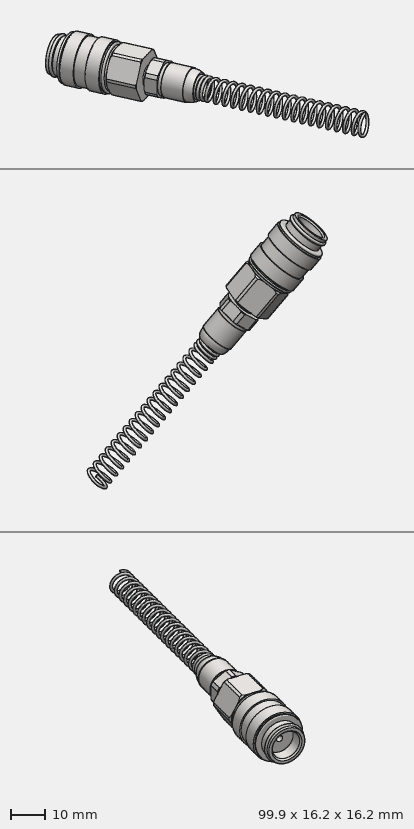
import math

import cadquery as cq


NOSE_RADIUS = 12.0 / 2
RING_WIRE_RADIUS = 1.0 / 2
RING_OUTER_RADIUS = 6.5
RING_GROOVE_START = 1.0
RING_GROOVE_END = 2.2
RING_GROOVE_RADIUS = 5.6
BORE_RADIUS = 9.03 / 2
BORE_MOUTH_RADIUS = 10.0 / 2
BORE_DEPTH = 4.3
VALVE_HOLE_RADIUS = 2.0 / 2
VALVE_HOLE_DEPTH = 2.0

SLEEVE_START = 4.3
SLEEVE_END = 19.3
SLEEVE_RADIUS = 16.2 / 2
RIM_RADIUS = 7.8
RIM_ROUND = 0.4
RIM_TO_BAND = 1.25
GROOVE_RADIUS = 15.2 / 2
LABEL_GROOVE_START = 9.85
LABEL_GROOVE_END = 13.65

COUPLING_HEX_START = 20.0
COUPLING_HEX_END = 29.9
COUPLING_HEX_FLATS = 14.0
COUPLING_HEX_CORNER_RADIUS = 7.82
COUPLING_HEX_START_CHAMFER = 0.5
COUPLING_HEX_END_CHAMFER = 0.2
COLLAR_RADIUS = COUPLING_HEX_FLATS / 2

STEM_RADIUS = 6.4 / 2
STEM_COLLAR_RADIUS = 6.5 / 2
STEM_COLLAR_START = 31.1
NUT_HEX_START = 31.4
NUT_HEX_END = 35.5
NUT_HEX_FLATS = 11.0
NUT_HEX_CORNER_RADIUS = 12.0 / 2
NUT_HEX_START_CHAMFER = 0.25
NUT_RADIUS = 10.0 / 2
NUT_BAND_RADIUS = 10.5 / 2
NUT_BAND_START = 36.6
NUT_BAND_END = 43.6
NUT_TAPER_START = 44.4
NUT_END = 46.45
NUT_END_RADIUS = 4.35
NUT_TAPER_MID_RADIUS = 4.85

PART_LENGTH = 99.91
WIRE_RADIUS = 0.9 / 2
COIL_RADIUS = 7.8 / 2 - WIRE_RADIUS
CLOSE_PITCH = 1.2
CLOSE_TURNS = 3.5
OPEN_TURNS = 18
OPEN_START = 49.64
END_TURNS = 0.5
POINTS_PER_TURN = 12


def turned_body():
    """All the round parts from the nose to the end of the nut, as one turned outline."""
    taper_middle = (NUT_TAPER_START + NUT_END) / 2
    front_band_start = SLEEVE_START + RIM_TO_BAND
    rear_band_end = SLEEVE_END - RIM_TO_BAND
    rim_side_radius = RIM_RADIUS - RIM_ROUND
    rim_width = RIM_ROUND + math.sqrt(RIM_ROUND**2 - (GROOVE_RADIUS - rim_side_radius) ** 2)
    outline = (
        cq.Workplane("XY")
        .moveTo(0, 0)
        .lineTo(0, NOSE_RADIUS)
        .lineTo(RING_GROOVE_START, NOSE_RADIUS)
        .lineTo(RING_GROOVE_START, RING_GROOVE_RADIUS)
        .lineTo(RING_GROOVE_END, RING_GROOVE_RADIUS)
        .lineTo(RING_GROOVE_END, NOSE_RADIUS)
        .lineTo(SLEEVE_START, NOSE_RADIUS)
        .lineTo(SLEEVE_START, rim_side_radius)
        .threePointArc(
            (SLEEVE_START + RIM_ROUND, RIM_RADIUS),
            (SLEEVE_START + rim_width, GROOVE_RADIUS),
        )
        .lineTo(front_band_start, GROOVE_RADIUS)
        .lineTo(front_band_start, SLEEVE_RADIUS)
        .lineTo(LABEL_GROOVE_START, SLEEVE_RADIUS)
        .lineTo(LABEL_GROOVE_START, GROOVE_RADIUS)
        .lineTo(LABEL_GROOVE_END, GROOVE_RADIUS)
        .lineTo(LABEL_GROOVE_END, SLEEVE_RADIUS)
        .lineTo(rear_band_end, SLEEVE_RADIUS)
        .lineTo(rear_band_end, GROOVE_RADIUS)
        .lineTo(SLEEVE_END - rim_width, GROOVE_RADIUS)
        .threePointArc(
            (SLEEVE_END - RIM_ROUND, RIM_RADIUS),
            (SLEEVE_END, rim_side_radius),
        )
        .lineTo(SLEEVE_END, COLLAR_RADIUS)
        .lineTo(COUPLING_HEX_START, COLLAR_RADIUS)
        .lineTo(COUPLING_HEX_START, STEM_RADIUS)
        .lineTo(STEM_COLLAR_START, STEM_RADIUS)
        .lineTo(STEM_COLLAR_START, STEM_COLLAR_RADIUS)
        .lineTo(NUT_HEX_END, STEM_COLLAR_RADIUS)
        .lineTo(NUT_HEX_END, NUT_RADIUS)
        .lineTo(NUT_BAND_START, NUT_RADIUS)
        .lineTo(NUT_BAND_START, NUT_BAND_RADIUS)
        .lineTo(NUT_BAND_END, NUT_BAND_RADIUS)
        .lineTo(NUT_BAND_END, NUT_RADIUS)
        .lineTo(NUT_TAPER_START, NUT_RADIUS)
        .threePointArc((taper_middle, NUT_TAPER_MID_RADIUS), (NUT_END, NUT_END_RADIUS))
        .lineTo(NUT_END, 0)
        .close()
    )
    return outline.revolve(360, (0, 0, 0), (1, 0, 0))


def snap_ring():
    """Round wire ring that touches the front wall and beds into the floor of its groove."""
    ring_x = RING_GROOVE_START + RING_WIRE_RADIUS
    ring_radius = RING_OUTER_RADIUS - RING_WIRE_RADIUS
    section = cq.Workplane("XY").center(ring_x, ring_radius).circle(RING_WIRE_RADIUS)
    return section.revolve(360, (-ring_x, -ring_radius, 0), (1 - ring_x, -ring_radius, 0))


def hexagon(start, end, across_flats, corner_radius, turn, start_chamfer, end_chamfer=0):
    """Hexagonal bar along X with turned-off corners; turn = 0 puts corners at +Y and -Y."""
    length = end - start
    plane = cq.Workplane("YZ", origin=(start, 0, 0))
    across_corners = across_flats / math.cos(math.radians(30))
    bar = plane.polygon(6, across_corners).extrude(length)
    bar = bar.rotate((0, 0, 0), (1, 0, 0), turn)
    blank = plane.circle(corner_radius).extrude(length)
    blank = blank.faces("<X").chamfer(start_chamfer)
    if end_chamfer:
        blank = blank.faces(">X").chamfer(end_chamfer)
    return bar.intersect(blank)


def socket_bore():
    """Stepped bore of the socket: chamfered mouth, plain bore and the small valve hole."""
    mouth_depth = BORE_MOUTH_RADIUS - BORE_RADIUS
    outline = (
        cq.Workplane("XY")
        .moveTo(0, 0)
        .lineTo(0, BORE_MOUTH_RADIUS)
        .lineTo(mouth_depth, BORE_RADIUS)
        .lineTo(BORE_DEPTH, BORE_RADIUS)
        .lineTo(BORE_DEPTH, VALVE_HOLE_RADIUS)
        .lineTo(BORE_DEPTH + VALVE_HOLE_DEPTH, VALVE_HOLE_RADIUS)
        .lineTo(BORE_DEPTH + VALVE_HOLE_DEPTH, 0)
        .close()
    )
    return outline.revolve(360, (0, 0, 0), (1, 0, 0))


def spring_point(turns):
    """Wire centre, with turns counted from the -Z point where the open coils start."""
    wire_end = PART_LENGTH - WIRE_RADIUS
    if turns < 0:
        x = OPEN_START + CLOSE_PITCH * turns
    else:
        x = OPEN_START + (wire_end - OPEN_START) * min(turns / OPEN_TURNS, 1)
    angle = 2 * math.pi * turns
    return cq.Vector(x, -COIL_RADIUS * math.sin(angle), -COIL_RADIUS * math.cos(angle))


def spring():
    """Round wire swept along closed, open and finally flat coils."""
    total_turns = CLOSE_TURNS + OPEN_TURNS + END_TURNS
    count = round(total_turns * POINTS_PER_TURN)
    points = [spring_point(i / POINTS_PER_TURN - CLOSE_TURNS) for i in range(count + 1)]
    path = cq.Edge.makeSpline(points)
    section = cq.Plane(origin=path.startPoint(), xDir=(0, 0, -1), normal=path.tangentAt(0))
    wire = cq.Workplane(section).circle(WIRE_RADIUS)
    return wire.sweep(cq.Workplane(obj=cq.Wire.assembleEdges([path])), isFrenet=True)


coupling_hex = hexagon(
    COUPLING_HEX_START,
    COUPLING_HEX_END,
    COUPLING_HEX_FLATS,
    COUPLING_HEX_CORNER_RADIUS,
    turn=0,
    start_chamfer=COUPLING_HEX_START_CHAMFER,
    end_chamfer=COUPLING_HEX_END_CHAMFER,
)
nut_hex = hexagon(
    NUT_HEX_START,
    NUT_HEX_END,
    NUT_HEX_FLATS,
    NUT_HEX_CORNER_RADIUS,
    turn=30,
    start_chamfer=NUT_HEX_START_CHAMFER,
)

coupling = turned_body().union(snap_ring()).union(coupling_hex).union(nut_hex)
result = coupling.cut(socket_bore()).union(spring())